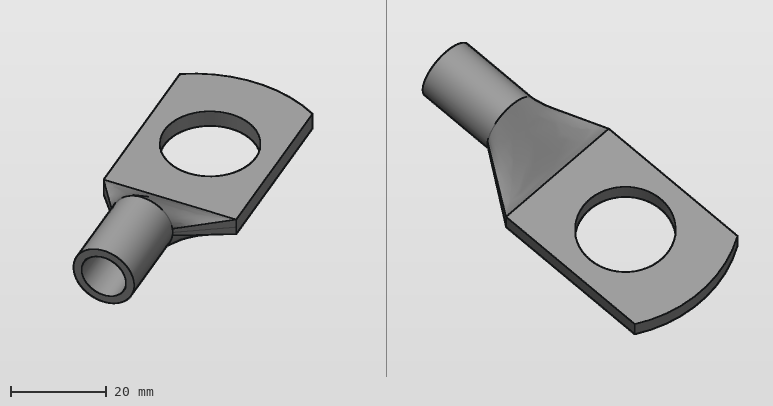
import cadquery as cq

length = 74.4
width = 30.5
thickness = 4.0
palm_length = 41.8
end_rise = 4.2
hole_diameter = 21.0
hole_from_tip = 21.95

barrel_length = 19.0
barrel_diameter = 14.0
bore_diameter = 10.2
height = 15.0

tip_y = length / 2
palm_back_y = tip_y - palm_length
barrel_back_y = -length / 2
barrel_front_y = barrel_back_y + barrel_length
barrel_axis_z = height - barrel_diameter / 2


def make_palm():
    """Flat plate with a shallow arc at the tip and a bolt hole."""
    half_width = width / 2
    shoulder_y = tip_y - end_rise
    plate = (
        cq.Workplane("XY")
        .moveTo(-half_width, palm_back_y)
        .lineTo(half_width, palm_back_y)
        .lineTo(half_width, shoulder_y)
        .threePointArc((0, tip_y), (-half_width, shoulder_y))
        .close()
        .extrude(thickness)
    )
    hole = (
        cq.Workplane("XY")
        .center(0, tip_y - hole_from_tip)
        .circle(hole_diameter / 2)
        .extrude(thickness)
    )
    return plate.cut(hole)


def barrel_circle(diameter):
    """Circle around the barrel axis where it meets the neck."""
    return cq.Workplane("XZ", origin=(0, barrel_front_y, barrel_axis_z)).circle(diameter / 2)


def make_neck():
    """Solid transition from the palm's rectangular end to the round barrel."""
    palm_end = cq.Workplane("XZ", origin=(0, palm_back_y, thickness / 2)).rect(width, thickness)
    barrel_end = barrel_circle(barrel_diameter)
    return cq.Solid.makeLoft([palm_end.wires().val(), barrel_end.wires().val()])


def make_barrel():
    """Round tube, open at the back and closed by the neck."""
    tube = barrel_circle(barrel_diameter).extrude(barrel_length)
    bore = barrel_circle(bore_diameter).extrude(barrel_length)
    return tube.cut(bore)


result = make_palm().union(make_neck()).union(make_barrel())